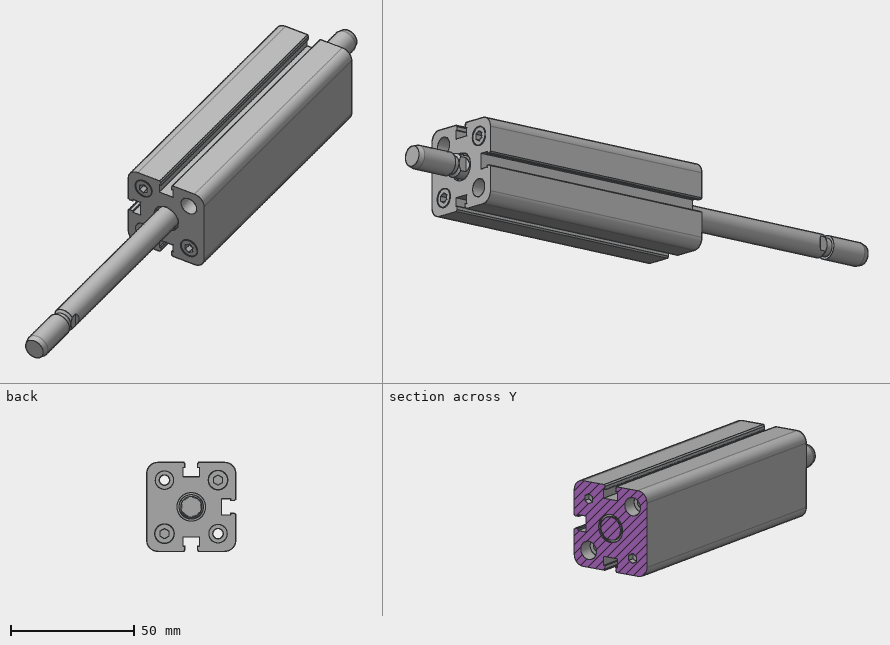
import cadquery as cq


body_width = 36.2
body_length = 113.5
corner_radius = 4.5

slot_mouth = 6.0
slot_throat = 5.0
slot_width = 6.5
slot_depth = 5.8
lip_thickness = 2.2
mouth_bevel_depth = 0.7
slot_angles = (0, 90, 180)

hole_offset = 10.8
through_diameter = 4.0
counterbore_diameter = 7.5
counterbore_depth = 7.2
screw_recess_diameter = 8.0
screw_head_diameter = 7.7
screw_groove_depth = 0.5
socket_across_corners = 4.0
socket_depth = 3.5

rod_diameter = 10.0
total_length = 241.0
front_reach = 101.2
rear_reach = total_length - body_length - front_reach
rod_bore_diameter = 11.5
rod_bore_depth = 1.5

tip_diameter = 8.5
tip_length = 2.5
thread_length = 19.0
neck_diameter = 7.7
neck_end = 21.7
shoulder_end = 22.7
flat_end = 25.3
ramp_end = 26.5
flats_width = 8.0


def face_sketch(x, z):
    """Workplane in the front face that extrudes into the body (+Y)."""
    return cq.Workplane(cq.Plane(origin=(x, 0, z), xDir=(0, 0, 1), normal=(0, 1, 0)))


def cylinder(diameter, length, x=0.0, z=0.0):
    return face_sketch(x, z).circle(diameter / 2).extrude(length)


def hex_socket(x, z):
    """Hexagon with corners pointing up and down."""
    return face_sketch(x, z).polygon(6, socket_across_corners).extrude(socket_depth)


def make_body():
    body = cq.Workplane("XY").box(body_width, body_length, body_width)
    body = body.edges("|Y").fillet(corner_radius)
    return body.translate((0, body_length / 2, 0))


def make_slot(angle):
    """T-slot in the top face, turned about the body axis."""
    top = body_width / 2
    lip_bottom = top - lip_thickness
    floor = top - slot_depth
    right_side = [
        (slot_mouth / 2, top),
        (slot_throat / 2, top - mouth_bevel_depth),
        (slot_throat / 2, lip_bottom),
        (slot_width / 2, lip_bottom),
        (slot_width / 2, floor),
    ]
    left_side = [(-x, z) for x, z in reversed(right_side)]
    outline = cq.Workplane("XZ").polyline(right_side + left_side).close()
    return outline.extrude(-body_length).rotate((0, 0, 0), (0, 1, 0), -angle)


def make_face_cuts():
    """Recesses in the front face; the rear face has the mirrored set."""
    cuts = cylinder(rod_bore_diameter, rod_bore_depth)
    for side in (-1, 1):
        x = side * hole_offset
        z = side * hole_offset
        cuts = cuts.union(cylinder(counterbore_diameter, counterbore_depth, x, z))
        groove = cylinder(screw_recess_diameter, screw_groove_depth, x, -z)
        groove = groove.cut(cylinder(screw_head_diameter, screw_groove_depth, x, -z))
        cuts = cuts.union(groove)
        cuts = cuts.union(hex_socket(x, -z))
    return cuts


def mirror_to_rear(shape):
    return shape.mirror("XZ").translate((0, body_length, 0))


def make_rod_half(tip_y, inward):
    """Rod turned about Y from one tip to mid-body: chamfered tip, neck and conical shoulder."""
    end_profile = [
        (tip_diameter / 2, 0),
        (rod_diameter / 2, tip_length),
        (rod_diameter / 2, thread_length),
        (neck_diameter / 2, thread_length),
        (neck_diameter / 2, neck_end),
        (rod_diameter / 2, shoulder_end),
    ]
    middle_y = body_length / 2
    outline = [(0, tip_y)]
    outline += [(radius, tip_y + inward * distance) for radius, distance in end_profile]
    outline += [(rod_diameter / 2, middle_y), (0, middle_y)]
    return cq.Workplane("XY").polyline(outline).close().revolve(360, (0, 0), (0, 1))


def make_flat_cut(tip_y, inward, side):
    """Wrench flat on one X side, ramping out to the rod surface at its inner end."""
    flat = side * flats_width / 2
    surface = side * rod_diameter / 2
    outline = [
        (flat, tip_y + inward * thread_length),
        (flat, tip_y + inward * flat_end),
        (surface, tip_y + inward * ramp_end),
        (surface, tip_y + inward * thread_length),
    ]
    return cq.Workplane("XY").polyline(outline).close().extrude(rod_diameter / 2, both=True)


def make_rod_end(tip_y, inward):
    rod_half = make_rod_half(tip_y, inward)
    for side in (-1, 1):
        rod_half = rod_half.cut(make_flat_cut(tip_y, inward, side))
    return rod_half


body = make_body()
for angle in slot_angles:
    body = body.cut(make_slot(angle))

face_cuts = make_face_cuts()
body = body.cut(face_cuts).cut(mirror_to_rear(face_cuts))
for side in (-1, 1):
    through_offset = side * hole_offset
    body = body.cut(cylinder(through_diameter, body_length, through_offset, through_offset))

front_rod = make_rod_end(-front_reach, 1)
rear_rod = make_rod_end(body_length + rear_reach, -1)
result = body.union(front_rod).union(rear_rod)